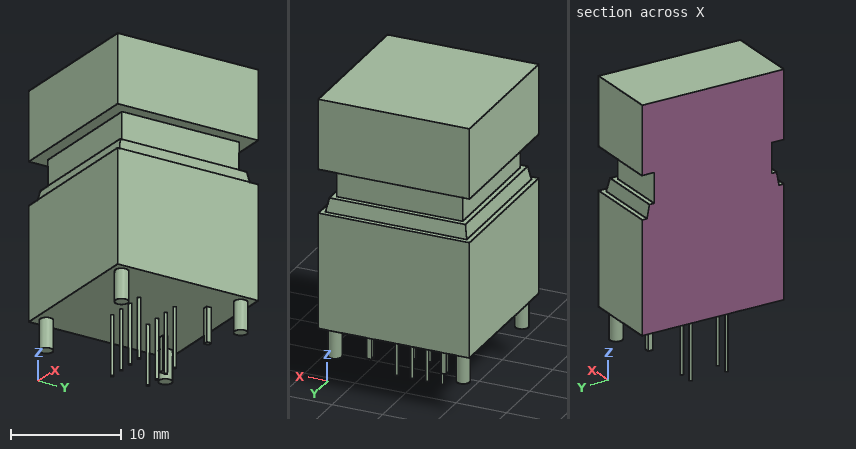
import cadquery as cq

body_side = 15.0
body_height = 11.5
collar_base_side = 14.0
collar_top_side = 13.5
collar_height = 1.35
neck_side = 12.5
neck_height = 3.0
cap_side = body_side
cap_height = 7.0

post_diameter = 1.3
post_length = 3.0
post_spacing = 12.7

terminal_side = 0.5
terminal_length = 3.5
terminal_spacing = 7.4
terminal_y = 4.5

pin_diameter = 0.3
pin_length = 6.0
pins_per_row = 4
pin_rows = 2
pin_pitch = 1.51
pin_row_spacing = 3.8

collar_bottom = body_height
neck_bottom = collar_bottom + collar_height
cap_bottom = neck_bottom + neck_height


def square_block(side, bottom, height):
    """Upright square block centred on the Z axis."""
    return cq.Workplane("XY").workplane(offset=bottom).rect(side, side).extrude(height)


def tapered_collar():
    """Square collar that narrows from the housing up to the neck."""
    return (
        cq.Workplane("XY")
        .workplane(offset=collar_bottom)
        .rect(collar_base_side, collar_base_side)
        .workplane(offset=collar_height)
        .rect(collar_top_side, collar_top_side)
        .loft(combine=True)
    )


def mounting_posts():
    """Four round posts below the housing corners."""
    return (
        cq.Workplane("XY")
        .rarray(post_spacing, post_spacing, 2, 2)
        .circle(post_diameter / 2)
        .extrude(-post_length)
    )


def switch_terminals():
    """Two square terminals below the rear of the housing."""
    return (
        cq.Workplane("XY")
        .pushPoints([(side * terminal_spacing / 2, terminal_y) for side in (-1, 1)])
        .rect(terminal_side, terminal_side)
        .extrude(-terminal_length)
    )


def signal_pins():
    """Rows of long thin pins below the middle of the housing."""
    return (
        cq.Workplane("XY")
        .rarray(pin_pitch, pin_row_spacing, pins_per_row, pin_rows)
        .circle(pin_diameter / 2)
        .extrude(-pin_length)
    )


result = (
    square_block(body_side, 0, body_height)
    .union(tapered_collar())
    .union(square_block(neck_side, neck_bottom, neck_height))
    .union(square_block(cap_side, cap_bottom, cap_height))
    .union(mounting_posts())
    .union(switch_terminals())
    .union(signal_pins())
)